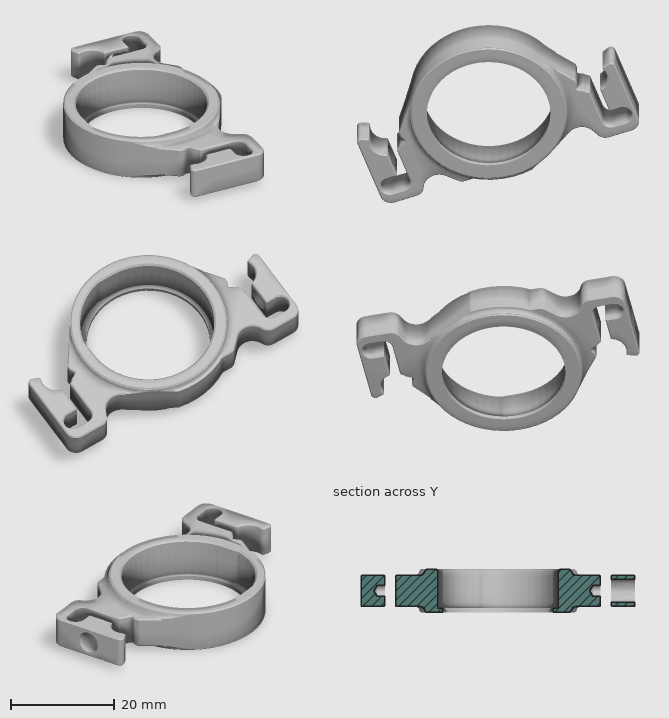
import cadquery as cq
import math

RING_RADIUS = 15.14
RING_HEIGHT = 8.38
RING_EDGE_CHAMFER = 0.3
LIP_BORE_DIAMETER = 23.88
LIP_THICKNESS = 0.85
BORE_RADIUS = 12.75
BORE_CHAMFER = 0.35
RECESS_DEPTH = 0.45

OVERALL_WIDTH = 53.04
OVERALL_DEPTH = 31.19
PLATE_THICKNESS = 6.1
PLATE_EDGE_CHAMFER = 0.25
BACK_RADIUS = OVERALL_DEPTH - RING_RADIUS
BLEND_RADIUS = BACK_RADIUS - RING_RADIUS
PLATE_BACK_Y = 13.93
SIDE_X = OVERALL_WIDTH / 2
BACK_FLAT_END_X = 3.15

SLOT_INNER_X = 19.85
SLOT_OUTER_X = 21.85
SLOT_END_DIAMETER = 3.45
SLOT_END_Y = 9.97
SLOT_END_X = 25.7
SEAT_RADIUS = 3.0
SEAT_X = 21.2
LEG_TIP_X = 24.0

SCREW_Y = 5.33
CLEARANCE_DIAMETER = 4.32
PILOT_DIAMETER = 1.99
PILOT_DEPTH = 1.5
DRILL_POINT_DEG = 118

COINCIDENT_GAP = 1e-6


def unit_toward(start, end):
    dx = end[0] - start[0]
    dy = end[1] - start[1]
    length = math.hypot(dx, dy)
    return dx / length, dy / length


def rounded_polygon(corners, height):
    """Prism, centred on Z = 0, from (x, y, corner radius) points."""
    outline = None
    last_point = None
    count = len(corners)
    for i, (x, y, radius) in enumerate(corners):
        to_previous = unit_toward((x, y), corners[i - 1])
        to_next = unit_toward((x, y), corners[(i + 1) % count])
        cosine = to_previous[0] * to_next[0] + to_previous[1] * to_next[1]
        half_angle = math.acos(cosine) / 2
        setback = radius / math.tan(half_angle)
        arc_start = (x + to_previous[0] * setback, y + to_previous[1] * setback)
        arc_end = (x + to_next[0] * setback, y + to_next[1] * setback)
        if outline is None:
            outline = cq.Workplane("XY", origin=(0, 0, -height / 2)).moveTo(*arc_start)
        elif math.dist(arc_start, last_point) > COINCIDENT_GAP:
            outline = outline.lineTo(*arc_start)
        if radius > 0:
            bisector = unit_toward((0, 0), (to_previous[0] + to_next[0], to_previous[1] + to_next[1]))
            reach = radius / math.sin(half_angle) - radius
            arc_middle = (x + bisector[0] * reach, y + bisector[1] * reach)
            outline = outline.threePointArc(arc_middle, arc_end)
        last_point = arc_end
    return outline.close().extrude(height)


def flank_tangent_point(corner_x, corner_y):
    """Point on the lower right of the ring touched by a line from the given corner."""
    distance = math.hypot(corner_x, corner_y)
    angle = math.atan2(corner_y, corner_x) - math.acos(RING_RADIUS / distance)
    return RING_RADIUS * math.cos(angle), RING_RADIUS * math.sin(angle)


def wing(side, back_corners, height):
    """Wing with its hook; side is +1 for +X and -1 for -X.

    back_corners run from the ring outward along the back edge.
    """
    slot_half = SLOT_END_DIAMETER / 2
    flank_x, flank_y = 18.17, -0.8
    tangent_x, tangent_y = flank_tangent_point(flank_x, flank_y)
    hook_corners = [
        (SIDE_X, PLATE_BACK_Y, 2.2),
        (SIDE_X, -2.66, 0.85),
        (LEG_TIP_X, -1.65, 0),
        (LEG_TIP_X, 0, 0),
        (SLOT_OUTER_X, 1.5, 0),
        (SLOT_OUTER_X, SLOT_END_Y - slot_half, 0),
        (SLOT_END_X, SLOT_END_Y - slot_half, slot_half),
        (SLOT_END_X, SLOT_END_Y + slot_half, slot_half),
        (SLOT_INNER_X, SLOT_END_Y + slot_half, slot_half),
        (SLOT_INNER_X, 1.98, 0),
        (19.0, 1.98, 0),
        (17.6, 1.2, 0.4),
        (flank_x, 0.1, 0.35),
        (flank_x, flank_y, 0.35),
        (tangent_x, tangent_y, 0),
        (0, 0, 0),
    ]
    corners = [(side * x, y, radius) for x, y, radius in back_corners + hook_corners]
    return rounded_polygon(corners, height)


def plate_blank(height):
    """Full outline of the plate: back arc, both wings and the ring disc."""
    left_meet_x = math.sqrt(BACK_RADIUS**2 - PLATE_BACK_Y**2)
    right_meet_y = math.sqrt(BACK_RADIUS**2 - BACK_FLAT_END_X**2)
    left_back = [
        (left_meet_x, PLATE_BACK_Y, 0),
        (10.62, PLATE_BACK_Y, 1.7),
        (16.14, 8.4, 3.0),
        (18.5, PLATE_BACK_Y, 2.0),
    ]
    right_back = [
        (BACK_FLAT_END_X, right_meet_y, 0),
        (15.9, 8.5, 3.0),
        (18.4, PLATE_BACK_Y, 2.0),
    ]
    bottom = cq.Workplane("XY", origin=(0, 0, -height / 2))
    back_sector = (
        bottom.lineTo(-left_meet_x, PLATE_BACK_Y)
        .threePointArc((0, BACK_RADIUS), (BACK_FLAT_END_X, right_meet_y))
        .close()
        .extrude(height)
    )
    blank = bottom.circle(RING_RADIUS).extrude(height).union(back_sector)
    blank = blank.union(wing(-1, left_back, height)).union(wing(1, right_back, height))
    for side in (-1, 1):
        blank = blank.cut(seat_cutter(side, height))
    return blank


def seat_cutter(side, height):
    """Round seat at the mouth of a hook, hollowed into the leg and the wing beside it."""
    return cq.Workplane("XY").center(side * SEAT_X, 0).circle(SEAT_RADIUS).extrude(height, both=True)


def ring_blank():
    return (
        cq.Workplane("XY", origin=(0, 0, -RING_HEIGHT / 2))
        .circle(RING_RADIUS)
        .extrude(RING_HEIGHT)
        .edges()
        .chamfer(RING_EDGE_CHAMFER)
    )


def ring_blend():
    """Concave collar blending the ring into both faces of the plate, kept within the outline."""
    half = PLATE_THICKNESS / 2
    sweep = BLEND_RADIUS * (1 - math.sqrt(0.5))
    collar = (
        cq.Workplane("XZ")
        .moveTo(0, -half - BLEND_RADIUS)
        .lineTo(RING_RADIUS, -half - BLEND_RADIUS)
        .threePointArc((RING_RADIUS + sweep, -half - sweep), (BACK_RADIUS, -half))
        .lineTo(BACK_RADIUS, half)
        .threePointArc((RING_RADIUS + sweep, half + sweep), (RING_RADIUS, half + BLEND_RADIUS))
        .lineTo(0, half + BLEND_RADIUS)
        .close()
        .revolve(360, (0, 0, 0), (0, 1, 0))
    )
    return collar.intersect(plate_blank(RING_HEIGHT))


def bore_cutter(radius):
    """Bore above the lip, flared by the top chamfer."""
    floor = -RING_HEIGHT / 2 + LIP_THICKNESS
    top = RING_HEIGHT / 2
    return (
        cq.Workplane("XZ")
        .moveTo(0, floor)
        .lineTo(radius, floor)
        .lineTo(radius, top - BORE_CHAMFER)
        .lineTo(radius + BORE_CHAMFER, top)
        .lineTo(0, top)
        .close()
        .revolve(360, (0, 0, 0), (0, 1, 0))
    )


def recess_cutter():
    """Quadrant (+X, -Y) of the bore widened until flats tangent to the bore meet a larger arc."""
    flared_top = RING_HEIGHT / 2 - BORE_CHAMFER
    side = 2 * BORE_RADIUS
    square = cq.Sketch().rect(side, side)
    top_plane = cq.Workplane("XY", origin=(0, 0, flared_top))
    straight = top_plane.placeSketch(square).extrude(-RING_HEIGHT)
    flare = top_plane.placeSketch(square).extrude(BORE_CHAMFER, taper=-45)
    widened = straight.union(flare)
    quadrant = cq.Workplane("XY").center(side / 2, -side / 2).rect(side, side)
    quadrant = quadrant.extrude(RING_HEIGHT, both=True)
    return bore_cutter(BORE_RADIUS + RECESS_DEPTH).intersect(widened).intersect(quadrant)


def pilot_hole(face_x):
    """Blind hole drilled toward +X from the given face, with a drill-point end."""
    radius = PILOT_DIAMETER / 2
    point_length = radius / math.tan(math.radians(DRILL_POINT_DEG / 2))
    return (
        cq.Workplane("XY", origin=(face_x, SCREW_Y, 0))
        .lineTo(0, radius)
        .lineTo(PILOT_DEPTH, radius)
        .lineTo(PILOT_DEPTH + point_length, 0)
        .close()
        .revolve(360, (0, 0, 0), (1, 0, 0))
    )


def clearance_hole():
    """Screw clearance through the left hook leg."""
    return (
        cq.Workplane("YZ", origin=(-SIDE_X, SCREW_Y, 0))
        .circle(CLEARANCE_DIAMETER / 2)
        .extrude(SIDE_X - SLOT_OUTER_X)
    )


plate = plate_blank(PLATE_THICKNESS).faces("<Z or >Z").edges().chamfer(PLATE_EDGE_CHAMFER)
body = plate.union(ring_blend()).union(ring_blank())
body = body.cut(cq.Workplane("XY").circle(LIP_BORE_DIAMETER / 2).extrude(RING_HEIGHT, both=True))
body = body.cut(bore_cutter(BORE_RADIUS)).cut(recess_cutter())
body = body.cut(clearance_hole())
for pilot_face_x in (-SLOT_INNER_X, SLOT_OUTER_X):
    body = body.cut(pilot_hole(pilot_face_x))
result = body